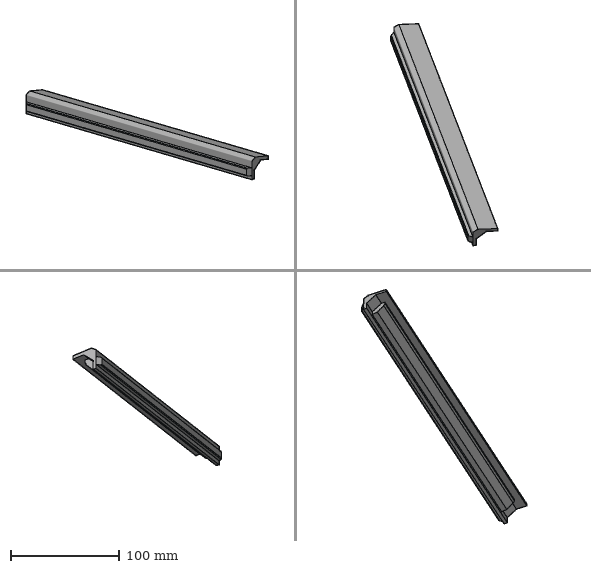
import cadquery as cq

length = 267.5
height = 21.1
wall = 3.2

shoulder_height = 18.7
shoulder_radius = 1.0
ridge_y = 4.8
flange_tip_y = 23.8
flange_tip_top = 16.5
flange_tip_thickness = 3.5
cove_low_z = 8.5
cove_high_y = 12.8
flange_slope = (height - flange_tip_top) / (flange_tip_y - ridge_y)
flange_tip_bottom = flange_tip_top - flange_tip_thickness


def flange_underside(y):
    """Height of the flange's lower face, parallel to its upper face."""
    return flange_tip_bottom + flange_slope * (flange_tip_y - y)


bar_depth = 4.0
bar_bottom = 4.0
bar_top = 11.8
bar_end_taper = 3.5
bar_edge_chamfer = 0.8

block_setback = 10.7
block_outer_y = 16.5
block_side_bottom = 12.5
block_knee_y = 15.3
block_knee_z = 10.0
block_foot_y = 8.5


def extrude_along_x(outline, start, end):
    """Extrude a closed (Y, Z) outline between two X positions."""
    return cq.Workplane("YZ", origin=(start, 0, 0)).polyline(outline).close().extrude(end - start)


def main_section():
    outline = [
        (0, 0),
        (0, shoulder_height),
        (ridge_y, height),
        (flange_tip_y, flange_tip_top),
        (flange_tip_y, flange_tip_bottom),
        (cove_high_y, flange_underside(cove_high_y)),
        (wall, cove_low_z),
        (wall, 0),
    ]
    section = extrude_along_x(outline, -length / 2, length / 2)
    shoulder_edge = cq.selectors.NearestToPointSelector((0, 0, shoulder_height))
    return section.edges("|X").edges(shoulder_edge).fillet(shoulder_radius)


def front_bar():
    half_length = length / 2
    front_half_length = half_length - bar_end_taper
    plan = [
        (-half_length, wall),
        (-half_length, 0),
        (-front_half_length, -bar_depth),
        (front_half_length, -bar_depth),
        (half_length, 0),
        (half_length, wall),
    ]
    bar = cq.Workplane("XY", origin=(0, 0, bar_bottom)).polyline(plan).close().extrude(bar_top - bar_bottom)
    return bar.faces("<Y").edges("|X").chamfer(bar_edge_chamfer)


def inner_block():
    outline = [
        (wall, bar_bottom),
        (wall, cove_low_z),
        (cove_high_y, flange_underside(cove_high_y)),
        (block_outer_y, flange_underside(block_outer_y)),
        (block_outer_y, block_side_bottom),
        (block_knee_y, block_knee_z),
        (block_foot_y, bar_bottom),
    ]
    block_end = length / 2 - block_setback
    return extrude_along_x(outline, -block_end, block_end)


result = main_section().union(front_bar()).union(inner_block())